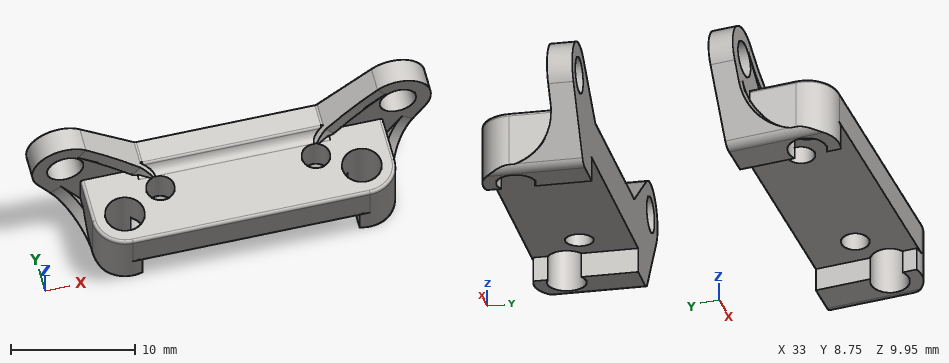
import cadquery as cq
import math

length = 33.0
depth = 8.75
base_half_width = 12.5
plate_top = 5.0
plate_bottom = 2.08
corner_radius = 2.7
top_edge_radius = 0.25
foot_inner_x = 8.97
foot_outer_edge_x = 12.2
foot_edge_radius = 1.1

wall_thickness = 2.08
wall_top = 5.75
wall_blend_radius = 1.0
wall_edge_radius = 0.23
wall_end_overlap = 0.43
arm_blend_radius = 0.3

ear_radius = 2.75
ear_z = 7.2
ear_x = length / 2 - ear_radius
ear_hole_diameter = 3.0
arm_wall_corner_x = 7.5

mount_hole_diameter = 3.2
mount_hole_x = base_half_width - corner_radius
mount_hole_y = corner_radius - depth
small_hole_diameter = 2.3
small_hole_x = 6.43
small_hole_y = -4.3

rib_thickness = 1.1
lower_rib_radius = 4.62
lower_rib_foot_z = 0.33
upper_rib_depth = 1.42
upper_rib_flare_length = 1.42
upper_rib_taper_depth = 0.45
upper_rib_mid_taper_depth = 0.13
upper_rib_flare_sag = 0.13


def tangent_point(corner, side):
    """Point where a line from corner touches the left ear; side picks one of the two tangents."""
    dx = corner[0] + ear_x
    dz = corner[1] - ear_z
    angle = math.atan2(dz, dx) + side * math.acos(ear_radius / math.hypot(dx, dz))
    return (-ear_x + ear_radius * math.cos(angle), ear_z + ear_radius * math.sin(angle))


def direction(start, end):
    span = math.dist(start, end)
    return ((end[0] - start[0]) / span, (end[1] - start[1]) / span)


def point_at_height(line_point, line_direction, z):
    step = (z - line_point[1]) / line_direction[1]
    return (line_point[0] + step * line_direction[0], z)


def mirrored(half):
    return half.union(half.mirror("YZ"))


def block(x_min, x_max, y_min, y_max, z_min, z_max):
    size = (x_max - x_min, y_max - y_min, z_max - z_min)
    return cq.Workplane().box(*size, centered=False).translate((x_min, y_min, z_min))


foot_corner = (-foot_outer_edge_x, 0)
wall_corner = (-arm_wall_corner_x, wall_top)
lower_tangent = tangent_point(foot_corner, -1)
upper_tangent = tangent_point(wall_corner, 1)
lower_direction = direction(lower_tangent, foot_corner)
upper_direction = direction(upper_tangent, wall_corner)
upper_end = point_at_height(upper_tangent, upper_direction, plate_top)


def make_plate():
    plate = block(-base_half_width, base_half_width, -depth, 0, plate_bottom, plate_top)
    plate = plate.edges("|Z and <Y").fillet(corner_radius)
    return plate.faces(">Z").edges("not >Y").fillet(top_edge_radius)


def make_foot():
    """Left foot: a round front end carried straight back to the rear face."""
    height = plate_bottom + top_edge_radius
    round_end = (
        cq.Workplane().center(-mount_hole_x, mount_hole_y).circle(corner_radius).extrude(height)
    )
    straight = block(-base_half_width, -foot_inner_x, mount_hole_y, 0, 0, height)
    trim = block(-base_half_width, -foot_inner_x, -depth, 0, 0, height)
    return round_end.union(straight).intersect(trim)


def make_wall():
    """Back wall with a concave front foot and a rounded upper edge."""
    end_x = arm_wall_corner_x + wall_end_overlap
    front_y = -wall_thickness - wall_blend_radius
    wall = block(-end_x, end_x, front_y, 0, plate_bottom, wall_top)
    hollow = (
        cq.Workplane("YZ")
        .center(front_y, plate_top + wall_blend_radius)
        .circle(wall_blend_radius)
        .extrude(2 * end_x)
        .translate((-end_x, 0, 0))
    )
    wall = wall.cut(hollow)
    return wall.faces(">Z").edges("<Y").fillet(wall_edge_radius)


def make_back():
    """Back wall with both arms and ears."""
    inner_corner = (-foot_inner_x, plate_bottom)
    arm = (
        cq.Workplane("XZ")
        .polyline([lower_tangent, upper_tangent, upper_end, inner_corner, (-foot_inner_x, 0), foot_corner])
        .close()
        .extrude(wall_thickness)
    )
    ear = cq.Workplane("XZ").center(-ear_x, ear_z).circle(ear_radius).extrude(wall_thickness)
    return make_wall().union(mirrored(arm.union(ear)))


def make_arm_blend():
    """Small tangent fillet between the arm's upper edge and the flat wall top."""
    turn = math.atan2(-upper_direction[1], upper_direction[0])
    reach = arm_blend_radius * math.tan(turn / 2)
    on_arm = (
        wall_corner[0] - reach * upper_direction[0],
        wall_corner[1] - reach * upper_direction[1],
    )
    on_wall = (wall_corner[0] + reach, wall_top)
    arc_middle = (
        on_wall[0] - arm_blend_radius * math.sin(turn / 2),
        wall_top + arm_blend_radius * (1 - math.cos(turn / 2)),
    )
    return (
        cq.Workplane("XZ")
        .moveTo(*on_arm)
        .threePointArc(arc_middle, on_wall)
        .lineTo(*wall_corner)
        .close()
        .extrude(wall_thickness)
    )


def rib_plane(start, along):
    """Plane with local X along the arm edge, and local Y toward the front."""
    normal = (along[1], 0, -along[0])
    return cq.Plane(
        origin=(start[0], -wall_thickness, start[1]), xDir=(along[0], 0, along[1]), normal=normal
    )


def make_lower_rib():
    """Quarter-round web between the arm's lower edge and the side of the base."""
    foot = point_at_height(lower_tangent, lower_direction, lower_rib_foot_z)
    start = (
        foot[0] - lower_rib_radius * lower_direction[0],
        foot[1] - lower_rib_radius * lower_direction[1],
    )
    arc_middle = (
        lower_rib_radius * math.sin(math.pi / 4),
        lower_rib_radius * (1 - math.cos(math.pi / 4)),
    )
    return (
        cq.Workplane(rib_plane(start, lower_direction))
        .moveTo(0, 0)
        .threePointArc(arc_middle, (lower_rib_radius, lower_rib_radius))
        .lineTo(lower_rib_radius, 0)
        .close()
        .extrude(-rib_thickness)
    )


def make_upper_rib():
    """Slowly deepening web on the arm's upper edge that flares onto the plate."""
    rib_length = math.dist(upper_tangent, upper_end)
    taper_length = rib_length - upper_rib_flare_length
    flare_middle = (
        rib_length - upper_rib_flare_length / 2,
        (upper_rib_taper_depth + upper_rib_depth) / 2 - upper_rib_flare_sag,
    )
    return (
        cq.Workplane(rib_plane(upper_tangent, upper_direction))
        .moveTo(0, 0)
        .threePointArc(
            (taper_length / 2, upper_rib_mid_taper_depth),
            (taper_length, upper_rib_taper_depth),
        )
        .threePointArc(flare_middle, (rib_length, upper_rib_depth))
        .lineTo(rib_length, 0)
        .close()
        .extrude(rib_thickness)
    )


def make_envelope():
    """Tapered prism that carries the arms' lower edges and rounded foot edges through the part."""
    top = ear_z + ear_radius
    top_left = point_at_height(lower_tangent, lower_direction, top)
    outline = [foot_corner, (foot_outer_edge_x, 0), (-top_left[0], top), top_left]
    prism = cq.Workplane("XZ").polyline(outline).close().extrude(depth)
    return prism.faces("<Z").edges("|Y").fillet(foot_edge_radius)


def drill_holes(body):
    for side in (-1, 1):
        vertical_holes = (
            (mount_hole_x, mount_hole_y, mount_hole_diameter),
            (small_hole_x, small_hole_y, small_hole_diameter),
        )
        for x, y, diameter in vertical_holes:
            drill = cq.Workplane().center(side * x, y).circle(diameter / 2).extrude(ear_z)
            body = body.cut(drill)
        ear_drill = (
            cq.Workplane("XZ").center(side * ear_x, ear_z).circle(ear_hole_diameter / 2).extrude(depth)
        )
        body = body.cut(ear_drill)
    return body


body = make_plate().union(make_back())
for half_feature in (make_foot(), make_arm_blend(), make_lower_rib(), make_upper_rib()):
    body = body.union(mirrored(half_feature))
result = drill_holes(body.intersect(make_envelope()))